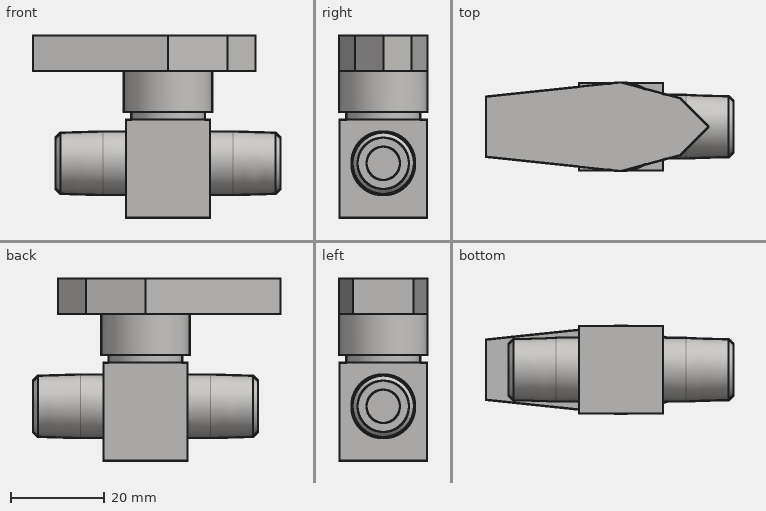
import cadquery as cq


body_length = 18.08
body_width = 18.80
body_height = 21.08
body_top = 9.36
body_bottom = body_top - body_height

pipe_reach = 24.13
pipe_radius = 13.716 / 2
taper_start = 13.90
pipe_taper = 1 / 32
end_chamfer = 1.07
bore_radius = 7.14 / 2
bore_depth = pipe_reach - body_length / 2

neck_radius = 15.88 / 2
neck_height = 1.60
collar_radius = 19.05 / 2
collar_height = 8.81
collar_bottom = body_top + neck_height

handle_bottom = collar_bottom + collar_height
handle_thickness = 7.63
handle_half_width = collar_radius
grip_reach = 28.96
grip_half_width = 12.95 / 2
tip_reach = 18.80
shoulder_half_width = 6.10
shoulder_x = tip_reach - shoulder_half_width


def make_body():
    return (
        cq.Workplane("XY", origin=(0, 0, body_bottom))
        .rect(body_length, body_width)
        .extrude(body_height)
    )


def make_pipe():
    """Pipe through the body, tapered and chamfered alike at both ends."""
    chamfer_start = pipe_reach - end_chamfer
    taper_end_radius = pipe_radius - pipe_taper * (chamfer_start - taper_start)
    face_radius = taper_end_radius - end_chamfer
    half_profile = [
        (taper_start, pipe_radius),
        (chamfer_start, taper_end_radius),
        (pipe_reach, face_radius),
        (pipe_reach, 0),
    ]
    mirrored_profile = [(-x, radius) for x, radius in reversed(half_profile)]
    return (
        cq.Workplane("XZ")
        .polyline(mirrored_profile + half_profile)
        .close()
        .revolve(360, (0, 0, 0), (1, 0, 0))
    )


def make_stem():
    neck = cq.Workplane("XY", origin=(0, 0, body_top)).circle(neck_radius).extrude(neck_height)
    collar = cq.Workplane("XY", origin=(0, 0, collar_bottom)).circle(collar_radius).extrude(collar_height)
    return neck.union(collar)


def make_handle():
    outline = [
        (-grip_reach, -grip_half_width),
        (0, -handle_half_width),
        (shoulder_x, -shoulder_half_width),
        (tip_reach, 0),
        (shoulder_x, shoulder_half_width),
        (0, handle_half_width),
        (-grip_reach, grip_half_width),
    ]
    return (
        cq.Workplane("XY", origin=(0, 0, handle_bottom))
        .polyline(outline)
        .close()
        .extrude(handle_thickness)
    )


def make_bore(side):
    """Blind bore entering the pipe end on the given side of X (-1 or 1)."""
    return (
        cq.Workplane("YZ", origin=(side * pipe_reach, 0, 0))
        .circle(bore_radius)
        .extrude(-side * bore_depth)
    )


result = make_body().union(make_pipe()).union(make_stem()).union(make_handle())
for side in (-1, 1):
    result = result.cut(make_bore(side))